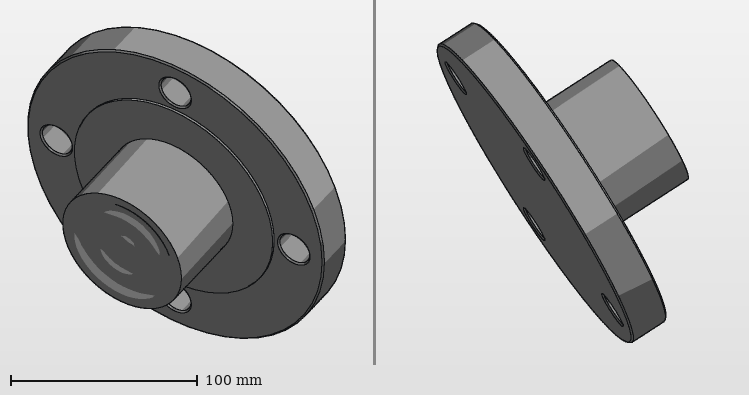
import cadquery as cq
import math

flange_radius = 95.0
flange_thickness = 22.5
edge_chamfer = 1.0

raised_radius = 63.5
raised_height = 1.5
boss_radius = 38.0
total_length = 74.0

hole_count = 4
hole_diameter = 19.0
hole_chamfer = 1.0
bolt_circle_radius = 76.0

rim_radius = 34.2
inflections = [(31.4, 48), (24.0, 38), (16.5, 32), (8.5, 29)]
center_flat_radius = 3.2


def disc(radius, start, length):
    """Cylinder around the Y axis, from Y = -start towards -Y."""
    return cq.Workplane("XZ", origin=(0, -start, 0)).circle(radius).extrude(length)


def make_flange():
    """Chamfered disc with a ring of bolt holes, chamfered at both ends."""
    flange = disc(flange_radius, 0, flange_thickness).edges("%CIRCLE").chamfer(edge_chamfer)
    hole_radius = hole_diameter / 2
    mouth_radius = hole_radius + hole_chamfer
    hole = (
        cq.Workplane("XY")
        .polyline([
            (0, 0),
            (mouth_radius, 0),
            (hole_radius, -hole_chamfer),
            (hole_radius, hole_chamfer - flange_thickness),
            (mouth_radius, -flange_thickness),
            (0, -flange_thickness),
        ])
        .close()
        .revolve(360, (0, 0, 0), (0, 1, 0))
        .translate((bolt_circle_radius, 0, 0))
    )
    for index in range(hole_count):
        angle = 360 / hole_count * index
        flange = flange.cut(hole.rotate((0, 0, 0), (0, 1, 0), angle))
    return flange


def make_boss():
    """Boss revolved around the Y axis, its end face a chain of tangent arcs."""
    profile = (
        cq.Workplane("XY")
        .moveTo(0, -flange_thickness)
        .lineTo(boss_radius, -flange_thickness)
        .lineTo(boss_radius, -total_length)
        .lineTo(rim_radius, -total_length)
    )
    stations = [(rim_radius, 0)] + inflections + [(center_flat_radius, 0)]
    y = -total_length
    bend = 1
    for (r_start, slope_start), (r_end, slope_end) in zip(stations, stations[1:]):
        start = math.radians(slope_start)
        end = math.radians(slope_end)
        arc_radius = (r_start - r_end) / (math.sin(start) + math.sin(end))
        y += bend * arc_radius * (math.cos(start) - math.cos(end))
        profile = profile.tangentArcPoint((r_end, y), relative=False)
        bend = -bend
    profile = profile.lineTo(0, y).close()
    return profile.revolve(360, (0, 0, 0), (0, 1, 0))


raised_face = disc(raised_radius, flange_thickness, raised_height)
result = make_flange().union(raised_face).union(make_boss())